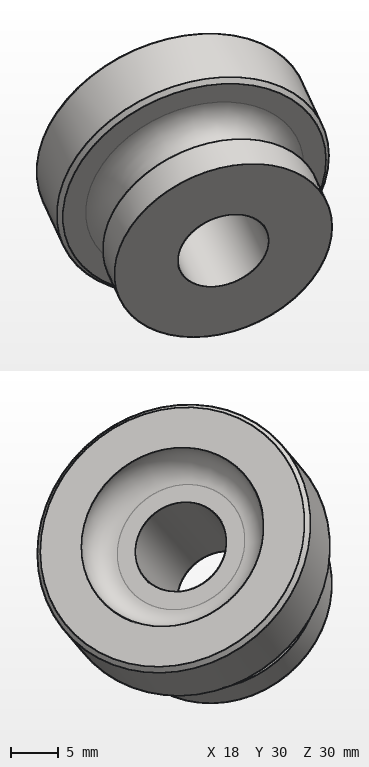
import cadquery as cq
import math

flange_radius = 15.0
flange_width = 8.0
flange_chamfer = 0.5
rim_radius = 12.0
rim_width = 4.0
groove_radius = 3.0
bore_radius = 5.0
recess_radius = 10.0
recess_depth = 3.0

FULL_TURN = 360
AXIS_START = (0, 0, 0)
AXIS_END = (1, 0, 0)

groove_end = flange_width + 2 * groove_radius
total_width = groove_end + rim_width
groove_center = flange_width + groove_radius


def make_body():
    """Solid of revolution with a chamfered flange, a round groove and a plain rim."""
    chamfer_radius = flange_radius - flange_chamfer
    profile = (
        cq.Workplane("XY")
        .moveTo(0, 0)
        .lineTo(0, chamfer_radius)
        .lineTo(flange_chamfer, flange_radius)
        .lineTo(flange_width - flange_chamfer, flange_radius)
        .lineTo(flange_width, chamfer_radius)
        .lineTo(flange_width, rim_radius)
        .threePointArc((groove_center, rim_radius - groove_radius), (groove_end, rim_radius))
        .lineTo(total_width, rim_radius)
        .lineTo(total_width, 0)
        .close()
    )
    return profile.revolve(FULL_TURN, AXIS_START, AXIS_END)


def make_recess():
    """Dished pocket in the flange face, with a concave quarter-round wall and a flat floor."""
    floor_radius = recess_radius - recess_depth
    arc_offset = recess_depth * math.sqrt(0.5)
    profile = (
        cq.Workplane("XY")
        .moveTo(0, 0)
        .lineTo(0, recess_radius)
        .threePointArc((arc_offset, floor_radius + arc_offset), (recess_depth, floor_radius))
        .lineTo(recess_depth, 0)
        .close()
    )
    return profile.revolve(FULL_TURN, AXIS_START, AXIS_END)


def make_bore():
    """Through hole along the axis."""
    return cq.Workplane("YZ").circle(bore_radius).extrude(total_width)


result = make_body().cut(make_recess()).cut(make_bore())